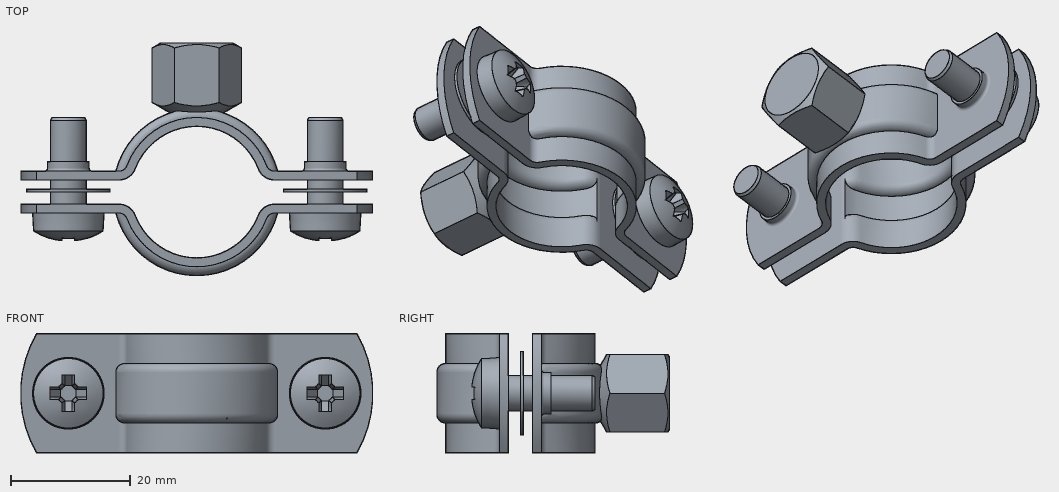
import cadquery as cq
import math

band_width = 20.0
sheet = 1.5
ring_inner_radius = 11.0
ring_outer_radius = ring_inner_radius + sheet
flange_gap = 4.0
flange_inner_y = flange_gap / 2
flange_outer_y = flange_inner_y + sheet
flange_span = 59.0
flange_end_radius = 20.0
bend_inner_radius = 1.5
bend_outer_radius = bend_inner_radius + sheet

bead_width = 10.0
bead_outer_radius = ring_outer_radius + sheet
bead_inner_radius = bead_outer_radius - sheet
bead_round = 1.5
groove_width = 9.0

screw_x = 21.5
shank_diameter = 6.0
tip_diameter = 5.5
tip_y = 12.5
tip_chamfer_height = 0.5
head_base_diameter = 12.0
head_rim_diameter = 11.65
head_side_height = 3.0
head_height = 4.75

recess_depth = 3.4
recess_arm_reach = 3.05
recess_arm_tip_depth = 1.2
recess_arm_straight_depth = 0.45
recess_arm_width = 2.1
recess_arm_floor_width = 1.2
recess_core_width = 3.9
recess_core_floor_width = 2.6

collar_diameter = 7.0
collar_height = 1.6
collar_root_radius = 0.5
washer_diameter = 14.0
washer_thickness = 0.5

nut_across_flats = 13.0
nut_corner_radius = nut_across_flats / math.sqrt(3)
nut_top_y = 25.0
nut_top_radius = 6.0
nut_lower_corner_y = 15.0
nut_root_y = 13.0
chamfer_angle = math.radians(30)


def bend_geometry():
    """Centre of the right-hand bend and its tangent points on the ring (outer, inner)."""
    center_y = flange_outer_y + bend_inner_radius
    center_distance = ring_outer_radius + bend_inner_radius
    center_x = math.sqrt(center_distance**2 - center_y**2)
    direction = (center_x / center_distance, center_y / center_distance)
    outer = tuple(ring_outer_radius * part for part in direction)
    inner = tuple(ring_inner_radius * part for part in direction)
    return (center_x, center_y), outer, inner


def mirrored(point):
    return (-point[0], point[1])


def bend_midpoint(center, tangent, radius):
    """Point halfway along a bend arc from straight down (-Y) to the ring tangent point."""
    end_angle = math.atan2(tangent[1] - center[1], tangent[0] - center[0]) % (2 * math.pi)
    angle = (end_angle + 1.5 * math.pi) / 2
    return (center[0] + radius * math.cos(angle), center[1] + radius * math.sin(angle))


def flange_end_trim():
    """Plate in the XZ plane whose two ends are rounded, extruded through both halves."""
    half_span = flange_span / 2
    half_width = band_width / 2
    sagitta = flange_end_radius - math.sqrt(flange_end_radius**2 - half_width**2)
    corner_x = half_span - sagitta
    return (
        cq.Workplane("XZ")
        .moveTo(-corner_x, -half_width)
        .lineTo(corner_x, -half_width)
        .threePointArc((half_span, 0), (corner_x, half_width))
        .lineTo(-corner_x, half_width)
        .threePointArc((-half_span, 0), (-corner_x, -half_width))
        .close()
        .extrude(bead_outer_radius, both=True)
    )


def half_ring(section):
    """Revolve a radial section about Z and keep the part beyond the flange's outer face."""
    size = 4 * bead_outer_radius
    keep = cq.Workplane("XY").box(size, size, size, centered=(True, False, True))
    return section.revolve(360, (0, 0, 0), (0, 1, 0)).intersect(keep.translate((0, flange_outer_y, 0)))


def bead():
    half = bead_width / 2
    return half_ring(
        cq.Workplane("XZ")
        .moveTo(bead_inner_radius - sheet / 2, -half)
        .lineTo(bead_outer_radius - bead_round, -half)
        .radiusArc((bead_outer_radius, -half + bead_round), -bead_round)
        .lineTo(bead_outer_radius, half - bead_round)
        .radiusArc((bead_outer_radius - bead_round, half), -bead_round)
        .lineTo(bead_inner_radius - sheet / 2, half)
        .close()
    )


def bead_groove():
    """Hollow inside the bead between the two bends; its mouth is rounded towards the bore."""
    _, outer, _ = bend_geometry()
    rise = math.degrees(math.atan2(outer[1], outer[0]))
    half_mouth = groove_width / 2
    half_floor = half_mouth - bead_round
    return (
        cq.Workplane("XZ")
        .moveTo(ring_inner_radius, -half_mouth)
        .radiusArc((bead_inner_radius, -half_floor), bead_round)
        .lineTo(bead_inner_radius, half_floor)
        .radiusArc((ring_inner_radius, half_mouth), bead_round)
        .close()
        .revolve(180 - 2 * rise, (0, 0, 0), (0, 1, 0))
        .rotate((0, 0, 0), (0, 0, 1), rise)
    )


def bend_groove():
    """The groove carried around the right-hand bend, out to the radius of the groove floor."""
    center, outer, _ = bend_geometry()
    half_mouth = groove_width / 2
    half_floor = half_mouth - bead_round
    rise = math.degrees(math.atan2(outer[1], outer[0]))
    section_plane = cq.Plane(origin=(center[0], center[1], 0), xDir=(0, -1, 0), normal=(-1, 0, 0))
    groove = (
        cq.Workplane(section_plane)
        .moveTo(bend_inner_radius, -half_floor)
        .radiusArc((bend_outer_radius, -half_mouth), bead_round)
        .lineTo(bend_outer_radius, half_mouth)
        .radiusArc((bend_inner_radius, half_floor), bead_round)
        .close()
        .revolve(90 - rise, (0, 0, 0), (0, -1, 0))
    )
    floor_cylinder = cq.Workplane("XY").circle(bead_inner_radius).extrude(half_mouth, both=True)
    return groove.intersect(floor_cylinder)


def strap_half():
    """Half strap on the +Y side."""
    center, outer, inner = bend_geometry()
    outer_mid = bend_midpoint(center, outer, bend_inner_radius)
    inner_mid = bend_midpoint(center, inner, bend_outer_radius)
    half_span = flange_span / 2
    strap = (
        cq.Workplane("XY")
        .workplane(offset=-band_width / 2)
        .moveTo(half_span, flange_inner_y)
        .lineTo(half_span, flange_outer_y)
        .lineTo(center[0], flange_outer_y)
        .threePointArc(outer_mid, outer)
        .threePointArc((0, ring_outer_radius), mirrored(outer))
        .threePointArc(mirrored(outer_mid), (-center[0], flange_outer_y))
        .lineTo(-half_span, flange_outer_y)
        .lineTo(-half_span, flange_inner_y)
        .lineTo(-center[0], flange_inner_y)
        .threePointArc(mirrored(inner_mid), mirrored(inner))
        .threePointArc((0, ring_inner_radius), inner)
        .threePointArc(inner_mid, (center[0], flange_inner_y))
        .close()
        .extrude(band_width)
    )
    side_groove = bend_groove()
    beaded = strap.intersect(flange_end_trim()).union(bead()).cut(bead_groove())
    return beaded.cut(side_groove).cut(side_groove.mirror("YZ"))


def octagon(y, width):
    """Octagonal wire at the given Y, measured across the flats that face X and Z."""
    corner_radius = width / 2 / math.cos(math.pi / 8)
    angles = [(side + 0.5) * math.pi / 4 for side in range(8)]
    corners = [cq.Vector(corner_radius * math.cos(a), y, corner_radius * math.sin(a)) for a in angles]
    return cq.Wire.makePolygon(corners, close=True)


def recess_core(apex_y):
    """Octagonal taper at the middle of the recess."""
    mouth = octagon(apex_y, recess_core_width)
    floor = octagon(apex_y + recess_depth, recess_core_floor_width)
    return cq.Workplane(cq.Solid.makeLoft([mouth, floor], True))


def recess_arm(apex_y):
    """Arm along +X whose floor drops from the tip to the edge of the core floor."""
    half_width = recess_arm_width / 2
    half_floor = recess_arm_floor_width / 2
    shoulder_y = apex_y + recess_arm_straight_depth

    def section(x, depth):
        floor_y = apex_y + depth
        corners = [
            (x, apex_y, -half_width),
            (x, shoulder_y, -half_width),
            (x, floor_y, -half_floor),
            (x, floor_y, half_floor),
            (x, shoulder_y, half_width),
            (x, apex_y, half_width),
        ]
        return cq.Wire.makePolygon([cq.Vector(*corner) for corner in corners], close=True)

    tip = section(recess_arm_reach, recess_arm_tip_depth)
    root = section(recess_core_floor_width / 2, recess_depth)
    return cq.Workplane(cq.Solid.makeLoft([root, tip], True))


def cross_recess(apex_y):
    """Tapered cross-shaped cutter whose mouth lies at the head apex."""
    cutter = recess_core(apex_y)
    arm = recess_arm(apex_y)
    for quarter in range(4):
        cutter = cutter.union(arm.rotate((0, 0, 0), (0, 1, 0), 90 * quarter))
    return cutter


def screw():
    """Screw on the Y axis with its collar and washer, head towards -Y."""
    seat_y = -flange_outer_y
    rim_y = seat_y - head_side_height
    apex_y = seat_y - head_height
    rim_radius = head_rim_diameter / 2
    dome_rise = rim_y - apex_y
    dome_radius = (rim_radius**2 + dome_rise**2) / (2 * dome_rise)
    half_rim = rim_radius / 2
    dome_mid_y = apex_y + dome_radius - math.sqrt(dome_radius**2 - half_rim**2)
    collar_radius = collar_diameter / 2
    collar_top_y = flange_outer_y + collar_height
    shank_radius = shank_diameter / 2
    washer_radius = washer_diameter / 2

    body = (
        cq.Workplane("XY")
        .moveTo(0, apex_y)
        .threePointArc((half_rim, dome_mid_y), (rim_radius, rim_y))
        .lineTo(head_base_diameter / 2, seat_y)
        .lineTo(shank_radius, seat_y)
        .lineTo(shank_radius, 0)
        .lineTo(washer_radius, 0)
        .lineTo(washer_radius, washer_thickness)
        .lineTo(shank_radius, washer_thickness)
        .lineTo(shank_radius, flange_outer_y)
        .lineTo(collar_radius + collar_root_radius, flange_outer_y)
        .radiusArc((collar_radius, flange_outer_y + collar_root_radius), collar_root_radius)
        .lineTo(collar_radius, collar_top_y)
        .lineTo(shank_radius, collar_top_y)
        .lineTo(shank_radius, tip_y - tip_chamfer_height)
        .lineTo(tip_diameter / 2, tip_y)
        .lineTo(0, tip_y)
        .close()
        .revolve(360, (0, 0, 0), (0, 1, 0))
    )
    return body.cut(cross_recess(apex_y))


def nut():
    """Hexagon with corners along X, both ends chamfered; the lower cone runs into the bead."""
    slope = math.tan(chamfer_angle)
    upper_corner_y = nut_top_y - (nut_corner_radius - nut_top_radius) * slope
    root_radius = nut_corner_radius - (nut_lower_corner_y - nut_root_y) / slope
    hexagon = (
        cq.Workplane("XZ", origin=(0, nut_root_y, 0))
        .polygon(6, 2 * nut_corner_radius)
        .extrude(nut_root_y - nut_top_y)
    )
    envelope = (
        cq.Workplane("XY")
        .moveTo(0, nut_root_y)
        .lineTo(root_radius, nut_root_y)
        .lineTo(nut_corner_radius, nut_lower_corner_y)
        .lineTo(nut_corner_radius, upper_corner_y)
        .lineTo(nut_top_radius, nut_top_y)
        .lineTo(0, nut_top_y)
        .close()
        .revolve(360, (0, 0, 0), (0, 1, 0))
    )
    return hexagon.intersect(envelope)


rear_half = strap_half()
result = rear_half.union(rear_half.mirror("XZ")).union(nut())
for side in (-1, 1):
    result = result.union(screw().translate((side * screw_x, 0, 0)))